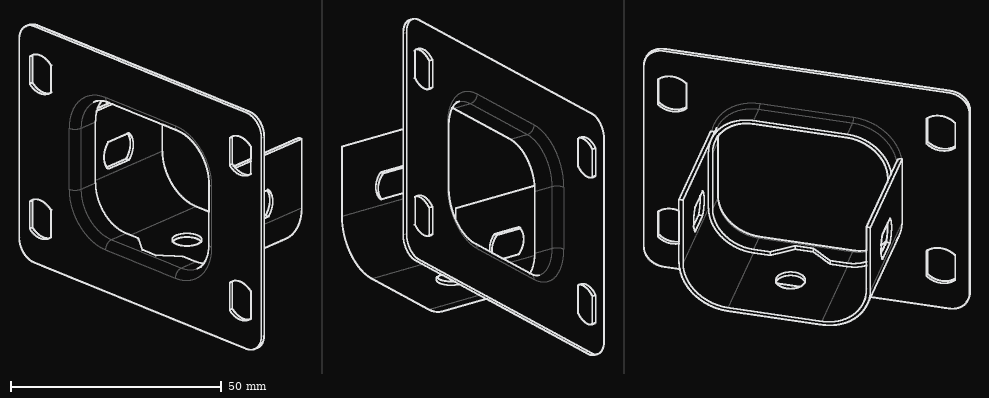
import cadquery as cq

plate_width = 80.0
plate_height = 62.0
plate_corner_radius = 5.0
mount_slot_spacing_x = 66.0
mount_slot_spacing_z = 38.0

bend_outer_radius = 2.0
sheet_thickness = bend_outer_radius / 2
bend_inner_radius = bend_outer_radius - sheet_thickness

mouth_width = 47.0
mouth_height = 40.0
mouth_corner_radius = 12.0
collar_length = 6.0

notch_open_width = 14.7
notch_base_width = 4.5
notch_depth = 4.0

bracket_length = 30.0
bracket_top_z = 10.0
bracket_hole_y = sheet_thickness + bracket_length / 2
bracket_slot_z = -3.0

hole_diameter = 7.0
slot_length = 10.0


def rounded_block(width, height, corner_radius, start_y, length):
    """Block along +Y with its four lengthwise edges rounded."""
    block = cq.Workplane("XY").box(width, length, height)
    return block.edges("|Y").fillet(corner_radius).translate((0, start_y + length / 2, 0))


def mouth_block(inset, start_y, length):
    """Block with the mouth outline moved inwards by the inset."""
    return rounded_block(
        mouth_width - 2 * inset,
        mouth_height - 2 * inset,
        mouth_corner_radius - inset,
        start_y,
        length,
    )


def slot_cutter(depth):
    """Cylinder along Z cut to two flat sides; the slot is long in Y."""
    cylinder = cq.Workplane("XY").circle(slot_length / 2).extrude(depth / 2, both=True)
    return cylinder.intersect(cq.Workplane("XY").box(hole_diameter, slot_length, depth))


def make_flanged_collar():
    """Plate with a smooth bend into a short collar around its opening."""
    body = rounded_block(plate_width, plate_height, plate_corner_radius, 0, sheet_thickness)
    collar = mouth_block(sheet_thickness, 0, sheet_thickness + collar_length)
    body = body.union(collar)

    collar_root = cq.selectors.BoxSelector(
        (-mouth_width / 2, sheet_thickness / 2, -mouth_height / 2),
        (mouth_width / 2, sheet_thickness * 1.5, mouth_height / 2),
    )
    body = body.edges(collar_root).fillet(bend_inner_radius)

    body = body.cut(mouth_block(bend_outer_radius, 0, sheet_thickness + collar_length))
    opening_rim = cq.selectors.BoxSelector(
        (-mouth_width / 2, -sheet_thickness / 2, -mouth_height / 2),
        (mouth_width / 2, sheet_thickness / 2, mouth_height / 2),
    )
    body = body.edges(opening_rim).fillet(bend_outer_radius)

    upright_slot = slot_cutter(3 * sheet_thickness).rotate((0, 0, 0), (1, 0, 0), 90)
    for side_x in (-1, 1):
        for side_z in (-1, 1):
            slot_x = side_x * mount_slot_spacing_x / 2
            slot_z = side_z * mount_slot_spacing_z / 2
            body = body.cut(upright_slot.translate((slot_x, 0, slot_z)))

    collar_end_y = sheet_thickness + collar_length
    notch_base_y = collar_end_y - notch_depth
    notch = (
        cq.Workplane("XY")
        .moveTo(-notch_open_width / 2, collar_end_y)
        .lineTo(-notch_base_width / 2, notch_base_y)
        .lineTo(notch_base_width / 2, notch_base_y)
        .lineTo(notch_open_width / 2, collar_end_y)
        .close()
        .extrude(-mouth_height)
    )
    return body.cut(notch)


def bracket_block(inset):
    """Block up to the bracket top, rounded at its lower edges, with sides and floor moved in."""
    width = mouth_width - 2 * inset
    floor_z = inset - mouth_height / 2
    block = cq.Workplane("XY").box(
        width, bracket_length, bracket_top_z - floor_z, centered=(True, False, False)
    )
    block = block.faces("<Z").edges("|Y").fillet(mouth_corner_radius - inset)
    return block.translate((0, sheet_thickness, floor_z))


def make_bracket(flanged_collar):
    """Open-topped U bracket, relieved at its front inner edge to clear the collar bend."""
    outside = bracket_block(0)
    inside = bracket_block(sheet_thickness)
    body = outside.cut(inside)

    side_slots = slot_cutter(2 * mouth_width).rotate((0, 0, 0), (0, 1, 0), 90)
    body = body.cut(side_slots.translate((0, bracket_hole_y, bracket_slot_z)))

    floor_hole = cq.Workplane("XY").circle(hole_diameter / 2).extrude(-mouth_height)
    body = body.cut(floor_hole.translate((0, bracket_hole_y, 0)))

    return body.cut(flanged_collar)


flanged_collar = make_flanged_collar()
bracket = make_bracket(flanged_collar)

result = cq.Compound.makeCompound([flanged_collar.solids().val(), bracket.solids().val()])